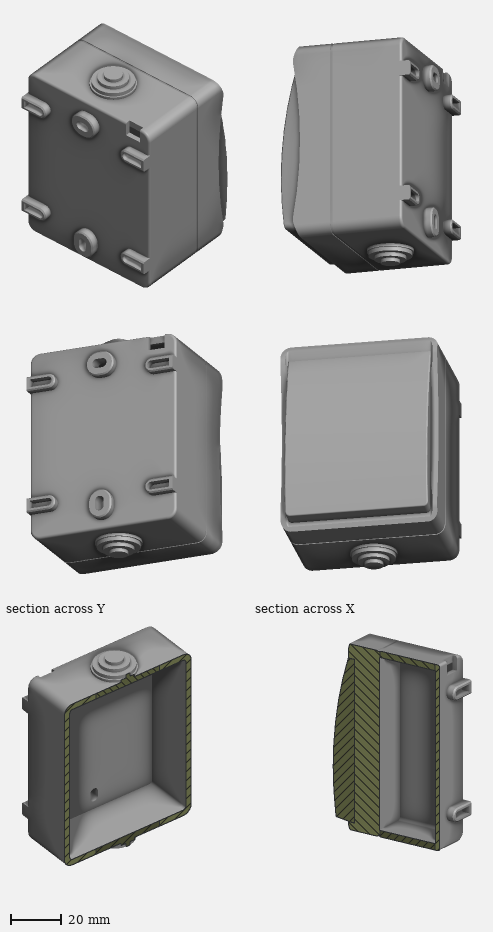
import cadquery as cq


width = 64.0
height = 79.35
corner_radius = 4.2
back_edge_radius = 1.1

base_depth = 29.3
back_wall = 2.2
side_wall = 2.9
inner_corner_radius = corner_radius - side_wall

foot_height = 3.55
foot_width = 6.0
foot_tip_x = 19.6
foot_z = 25.9
foot_root_y = back_edge_radius
foot_slot_width = 3.3
foot_slot_end_x = 30.6
pad_chamfer = 0.55

boss_z = 29.9
boss_width = 10.0
boss_length = 12.0
screw_slot_width = 3.8
screw_slot_length = 6.2

window_x_min = 19.8
window_x_max = 27.0
window_z_min = 33.6

plate_width = 31.5
plate_corner_radius = 2.1
membrane_y = 15.6
membrane_steps = [(9.5, 1.2), (8.8, 2.8), (6.4, 4.4), (3.8, 5.8)]

lip_depth = 1.0
lip_inset = 0.32
cover_start = base_depth + lip_depth
cover_end_y = 43.95
cheek_peak_y = 46.1
cheek_peak_z = 33.2
cheek_middle_y = 42.95
cheek_peak_radius = 4.55
channel_floor_y = 44.6
channel_half_width = 30.0
channel_fillet = 1.3

rocker_width = 58.4
rocker_floor_y = 41.9
rocker_crest_y = 52.1
rocker_crest_z = -14.1
rocker_top_z = 33.3
rocker_top_y = 44.8
rocker_foot_z = -36.1
rocker_foot_y = 45.1
rocker_toe_z = -35.5
rocker_toe_y = 50.7
rocker_toe_radius = 2.0
rocker_edge_radius = 0.55


def rounded_block(size_x, size_z, radius, y_start, y_end):
    """Block along Y whose four edges parallel to Y are rounded."""
    block = cq.Workplane("XY").box(size_x, y_end - y_start, size_z, centered=(True, False, True))
    return block.edges("|Y").fillet(radius).translate((0, y_start, 0))


def box_between(x_range, y_range, z_range):
    """Plain box given by its limits on each axis."""
    sizes = [high - low for low, high in (x_range, y_range, z_range)]
    corner = (x_range[0], y_range[0], z_range[0])
    return cq.Workplane("XY").box(*sizes, centered=False).translate(corner)


def slot_along_y(length, slot_width, z, turn, y_start, y_end):
    """Stadium prism along Y, centred on X = 0; a turn of 90 degrees sets it upright."""
    sketch = cq.Workplane("XZ", origin=(0, y_start, z)).slot2D(length, slot_width, turn)
    return sketch.extrude(y_start - y_end)


def tongue(outer_x, tip_x, tongue_width, y_start, y_end):
    """Prism along Y with a square outer end at outer_x and a round tip at tip_x."""
    half = tongue_width / 2
    sketch = cq.Workplane("XZ", origin=(0, y_start, 0)).moveTo(outer_x, half).lineTo(tip_x + half, half)
    sketch = sketch.threePointArc((tip_x, 0), (tip_x + half, -half)).lineTo(outer_x, -half).close()
    return sketch.extrude(y_start - y_end)


def placed_at_corners(shape):
    """Copies of a right-hand shape on both sides, at both foot heights."""
    left = shape.mirror("YZ")
    return [half.translate((0, 0, z)) for half in (shape, left) for z in (-foot_z, foot_z)]


def make_feet():
    foot = tongue(width / 2, foot_tip_x, foot_width, -foot_height, foot_root_y)
    foot = foot.faces("<Y").edges("not >X").chamfer(pad_chamfer)
    rim = (foot_width - foot_slot_width) / 2
    slot = tongue(foot_slot_end_x, foot_tip_x + rim, foot_slot_width, -foot_height, 0)
    return placed_at_corners(foot), placed_at_corners(slot)


def make_entry_panel():
    """Plate filling the opening in the top wall, flush with both faces of the wall."""
    panel = box_between(
        (-plate_width / 2, plate_width / 2),
        (back_wall, base_depth),
        (height / 2 - side_wall, height / 2),
    )
    return panel.edges("|Z and <Y").fillet(plate_corner_radius)


def make_base():
    base = rounded_block(width, height, corner_radius, 0, base_depth)
    base = base.faces("<Y").edges().fillet(back_edge_radius)

    feet, foot_slots = make_feet()
    for foot in feet:
        base = base.union(foot)
    for z, turn in ((boss_z, 0), (-boss_z, 90)):
        boss = slot_along_y(boss_length, boss_width, z, turn, -foot_height, back_wall)
        base = base.union(boss.faces("<Y").chamfer(pad_chamfer))

    base = base.cut(
        rounded_block(width - 2 * side_wall, height - 2 * side_wall, inner_corner_radius, back_wall, base_depth)
    )

    for slot in foot_slots:
        base = base.cut(slot)
    for z, turn in ((boss_z, 0), (-boss_z, 90)):
        base = base.cut(slot_along_y(screw_slot_length, screw_slot_width, z, turn, -foot_height, back_wall))

    base = base.cut(
        box_between((window_x_min, window_x_max), (0, back_wall), (window_z_min, height / 2))
    )

    panel = make_entry_panel()
    return base.cut(panel).cut(panel.mirror("XY"))


def make_entry_plate(side):
    """Cable entry plate for the top wall (side = 1) or the bottom wall (side = -1)."""
    plate = make_entry_panel()
    for radius, rise in membrane_steps:
        step = cq.Workplane("XY", origin=(0, membrane_y, height / 2 - side_wall)).circle(radius)
        plate = plate.union(step.extrude(side_wall + rise))
    return plate if side > 0 else plate.mirror("XY")


def make_rocker():
    profile = (
        cq.Workplane("YZ", origin=(-rocker_width / 2, 0, 0))
        .moveTo(rocker_floor_y, rocker_foot_z)
        .lineTo(rocker_foot_y, rocker_foot_z)
        .lineTo(rocker_toe_y, rocker_toe_z)
        .threePointArc((rocker_crest_y, rocker_crest_z), (rocker_top_y, rocker_top_z))
        .lineTo(rocker_floor_y, rocker_top_z)
        .close()
    )
    rocker = profile.extrude(rocker_width)
    toe_edges = cq.selectors.BoxSelector(
        (-rocker_width, rocker_foot_y, rocker_foot_z - rocker_toe_radius),
        (rocker_width, rocker_toe_y, rocker_toe_z + rocker_toe_radius),
    )
    rocker = rocker.edges(toe_edges).edges("not |X").fillet(rocker_toe_radius)
    return rocker.faces(">Y").edges("not |X").fillet(rocker_edge_radius)


def make_cover(rocker):
    outline = (
        cq.Workplane("YZ", origin=(-width / 2, 0, 0))
        .moveTo(cover_start, -height / 2)
        .lineTo(cover_end_y, -height / 2)
        .lineTo(cheek_peak_y, -cheek_peak_z)
        .threePointArc((cheek_middle_y, 0), (cheek_peak_y, cheek_peak_z))
        .lineTo(cover_end_y, height / 2)
        .lineTo(cover_start, height / 2)
        .close()
        .extrude(width)
    )
    outline = outline.edges("|X and >Y").fillet(cheek_peak_radius)
    cover = outline.intersect(rounded_block(width, height, corner_radius, cover_start, cheek_peak_y))

    lip = rounded_block(
        width - 2 * lip_inset, height - 2 * lip_inset, corner_radius - lip_inset, base_depth, cover_start
    )
    cover = cover.union(lip)

    channel = box_between(
        (-channel_half_width, channel_half_width),
        (channel_floor_y, rocker_crest_y),
        (-height / 2, height / 2),
    )
    cover = cover.cut(channel.edges("|Z and <Y").fillet(channel_fillet))

    return cover.cut(rocker)


base = make_base()
entry_plates = [make_entry_plate(side) for side in (1, -1)]
rocker = make_rocker()
cover = make_cover(rocker)

result = cq.Compound.makeCompound(
    [base.val(), *[plate.val() for plate in entry_plates], cover.val(), rocker.val()]
)